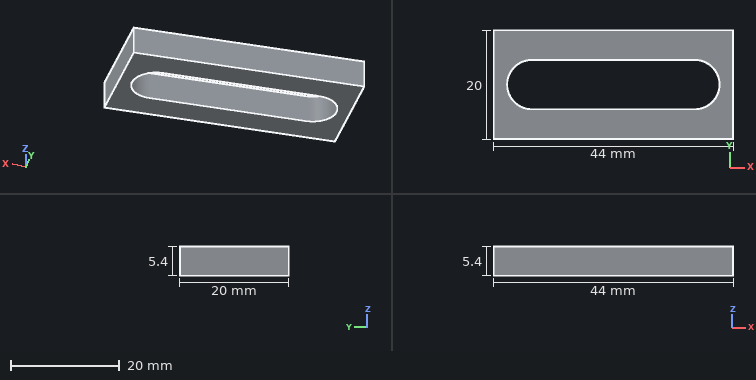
import cadquery as cq

plate_length = 44.0
plate_width = 20.0
plate_thickness = 5.4

slot_length = 39.0
slot_width = 9.0

plate = cq.Workplane("XY").box(plate_length, plate_width, plate_thickness)

result = plate.faces(">Z").workplane().slot2D(slot_length, slot_width).cutThruAll()